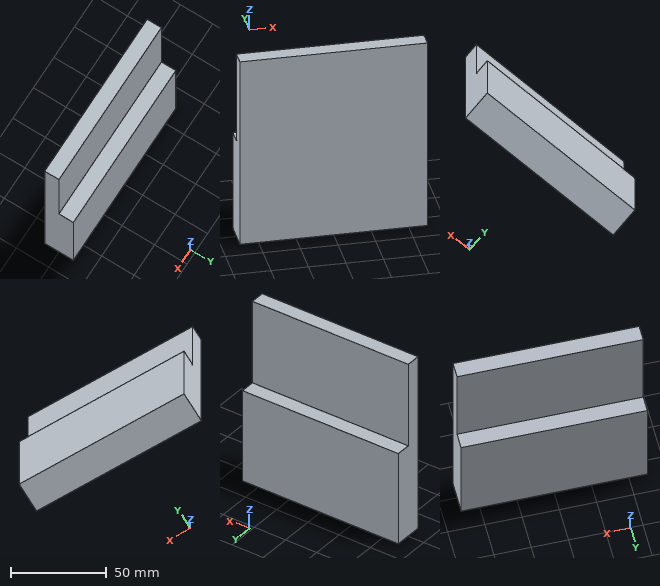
import cadquery as cq

width = 100.0
depth = 17.8
height = 108.5

wall_thickness = 8.9
ledge_height = 57.1

profile = [
    (0, 0),
    (depth, 0),
    (depth, ledge_height),
    (wall_thickness, ledge_height),
    (wall_thickness, height),
    (0, height),
]

result = cq.Workplane("YZ").polyline(profile).close().extrude(width)